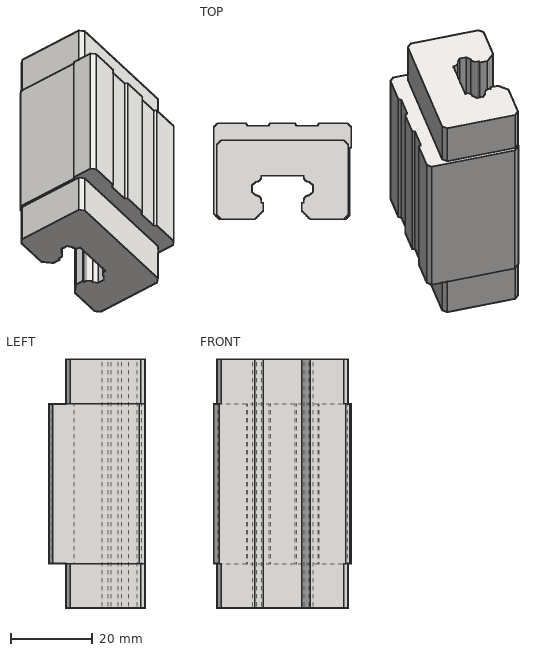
import cadquery as cq
import math


block_width = 34.0
block_height = 23.7
block_length = 39.4
total_length = 61.4
cap_length = (total_length - block_length) / 2

block_top_chamfer = 1.0
block_bottom_chamfer = 1.4
relief_depth = 0.4
relief_height = 17.6

groove_depth = 0.65
groove_floor_width = 5.2
groove_side_run = 0.35
groove_offset = 6.03

cap_width = 32.3
cap_height = 19.5
cap_chamfer = 1.05

channel_height = 10.7
channel_half_width = 5.2
lip_half_width = 4.7
lip_top = 4.1
mouth_chamfer = 2.1
track_axis_height = 7.55
track_half_width = 7.5
track_wall_height = 1.7
bead_radius = 1.3
bead_center_x = channel_half_width + bead_radius
bead_center_rise = 2.95


def prism(outline, z_start, length):
    """Extrude a closed straight-sided outline along Z."""
    return cq.Workplane("XY").workplane(offset=z_start).polyline(outline).close().extrude(length)


def make_block():
    half_width = block_width / 2
    relieved_side = half_width - relief_depth
    bottom_flat = half_width - block_bottom_chamfer
    relieved_chamfer = block_bottom_chamfer - relief_depth
    top_flat = half_width - block_top_chamfer
    outline = [
        (-bottom_flat, 0),
        (bottom_flat, 0),
        (relieved_side, relieved_chamfer),
        (relieved_side, relief_height),
        (half_width, relief_height),
        (half_width, block_height - block_top_chamfer),
        (top_flat, block_height),
        (-top_flat, block_height),
        (-half_width, block_height - block_top_chamfer),
        (-half_width, block_bottom_chamfer),
    ]
    return prism(outline, -block_length / 2, block_length)


def make_groove(center_x):
    floor_half = groove_floor_width / 2
    mouth_half = floor_half + groove_side_run
    floor_y = block_height - groove_depth
    outline = [
        (center_x - mouth_half, block_height),
        (center_x - floor_half, floor_y),
        (center_x + floor_half, floor_y),
        (center_x + mouth_half, block_height),
    ]
    return prism(outline, -block_length / 2, block_length)


def make_cap(z_start):
    return (
        cq.Workplane("XY")
        .box(cap_width, cap_height, cap_length, centered=(True, False, False))
        .edges("|Z")
        .chamfer(cap_chamfer)
        .translate((0, 0, z_start))
    )


def make_half_channel():
    """+X half of the rail channel; the other half is its mirror image."""
    upper_bead_y = track_axis_height + bead_center_rise
    lower_bead_y = track_axis_height - bead_center_rise
    bead_arc_offset = bead_radius * math.cos(math.pi / 4)
    bead_mid_x = bead_center_x - bead_arc_offset
    wall_top = track_axis_height + track_wall_height / 2
    wall_bottom = track_axis_height - track_wall_height / 2
    return (
        cq.Workplane("XY")
        .workplane(offset=-total_length / 2)
        .moveTo(0, 0)
        .lineTo(lip_half_width + mouth_chamfer, 0)
        .lineTo(lip_half_width, mouth_chamfer)
        .lineTo(lip_half_width, lip_top)
        .lineTo(channel_half_width, lip_top)
        .lineTo(channel_half_width, lower_bead_y)
        .threePointArc(
            (bead_mid_x, lower_bead_y + bead_arc_offset),
            (bead_center_x, lower_bead_y + bead_radius),
        )
        .lineTo(track_half_width, wall_bottom)
        .lineTo(track_half_width, wall_top)
        .lineTo(bead_center_x, upper_bead_y - bead_radius)
        .threePointArc(
            (bead_mid_x, upper_bead_y - bead_arc_offset),
            (channel_half_width, upper_bead_y),
        )
        .lineTo(channel_half_width, channel_height)
        .lineTo(0, channel_height)
        .close()
        .extrude(total_length)
    )


carriage = make_block()
for side in (-1, 1):
    carriage = carriage.cut(make_groove(side * groove_offset))

for cap_start in (-total_length / 2, block_length / 2):
    carriage = carriage.union(make_cap(cap_start))

half_channel = make_half_channel()
channel = half_channel.union(half_channel.mirror("YZ"))
result = carriage.cut(channel)